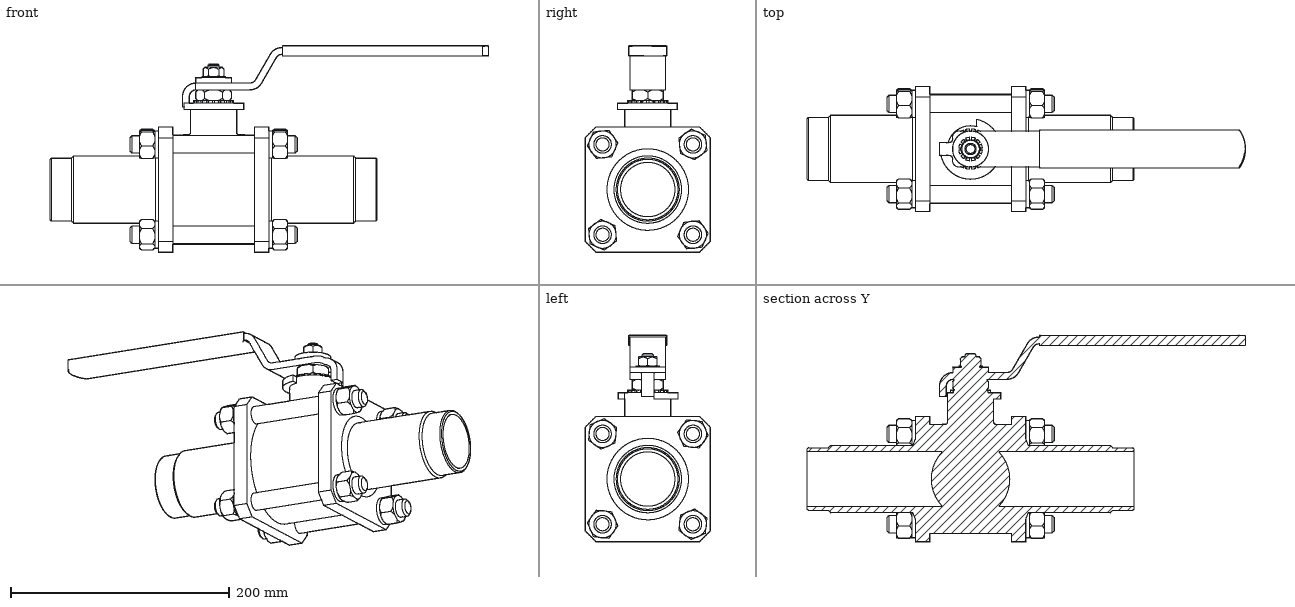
import cadquery as cq
import math


pipe_half_length = 150.0
pipe_radius = 31.0
pipe_neck_radius = 29.0
pipe_neck_length = 19.7
pipe_step_length = 2.0
pipe_lip_chamfer = 1.2
bore_radius = 25.0
ball_radius = 36.0
body_radius = 50.3
body_half_length = 37.5

plate_size = 115.0
plate_thickness = 13.3
plate_corner = 10.0
plate_outer_x = body_half_length + plate_thickness
collar_radius = 37.5
collar_length = 2.5

bolt_offset = 41.5
bolt_radius = 8.0
bolt_half_length = 77.0
bolt_chamfer = 2.0
washer_radius = 12.5
washer_thickness = 3.2
nut_corner_radius = 14.0
nut_thickness = 14.0
nut_chamfer_radial = 1.5
nut_chamfer_axial = 2.0
nut_turn = 36.0

boss_radius = 21.5
boss_top = 73.0
boss_foot_fillet = 1.5
stop_radius = 27.7
stop_thickness = 6.0
stop_top = boss_top + stop_thickness
stop_notch_edge = 5.5
lock_washer_radius = 18.5
lock_washer_thickness = 2.5
lock_washer_teeth = 20
gland_nut_corner_radius = 16.5
lever_thickness = 6.5
lever_bottom = 91.3
lever_top = lever_bottom + lever_thickness
lever_washer_radius = 16.5
lever_washer_thickness = 5.0
stem_nut_bottom = lever_top + lever_washer_thickness
stem_nut_corner_radius = 9.5
stem_nut_thickness = 9.5
stem_washer_radius = 11.0
stem_washer_thickness = 1.2
stem_washer_teeth = 12
tooth_depth = 2.5
tooth_gap = 2.0
stem_radius = 5.2
stem_top = 115.0
stem_chamfer = 1.2

lever_width = 33.0
lever_end_x = -16.5
lever_end_round = 5.5
tab_width = 11.5
tab_outer_x = -28.5
tab_bottom = 75.5
tab_root_fillet = 3.2
crank_angle = 60.0
crank_start_x = 38.5
bend_inner_radius = 6.0
bend_outer_radius = bend_inner_radius + lever_thickness

grip_start_x = 63.0
grip_end_x = 252.0
grip_width = 35.0
grip_height = 9.5
grip_top = 132.0
grip_nose_depth = 5.5
grip_edge_round = 1.0
grip_bottom = grip_top - grip_height
lever_rise = (grip_top - grip_height / 2) - (lever_bottom + lever_thickness / 2)


def disc(radius, bottom, height):
    """Upright cylinder on the stem axis."""
    return cq.Workplane("XY", origin=(0, 0, bottom)).circle(radius).extrude(height)


def hex_nut(corner_radius, bottom, height):
    """Upright hexagonal prism on the stem axis, two corners on X, corners chamfered at both faces."""
    prism = cq.Workplane("XY", origin=(0, 0, bottom)).polygon(6, 2 * corner_radius).extrude(height)
    turned = disc(corner_radius, bottom, height)
    turned = turned.faces("<Z or >Z").chamfer(nut_chamfer_axial, nut_chamfer_radial)
    return prism.intersect(turned)


def toothed_washer(radius, bottom, height, teeth):
    """Washer on the stem axis whose rim is notched into evenly spaced teeth."""
    gaps = (
        cq.Workplane("XY", origin=(0, 0, bottom))
        .polarArray(radius, 0, 360, teeth)
        .rect(2 * tooth_depth, tooth_gap)
        .extrude(height)
    )
    return disc(radius, bottom, height).cut(gaps)


def along_x(radius, start, length):
    """Cylinder on the X axis."""
    return cq.Workplane("YZ", origin=(start, 0, 0)).circle(radius).extrude(length)


def make_pipe():
    """Turned pipe, collar and body, mirrored about the stem axis; the closed ball blocks the bore."""
    ball_contact_x = math.sqrt(ball_radius**2 - bore_radius**2)
    ball_mid_angle = math.asin(bore_radius / ball_radius) / 2
    ball_mid = (ball_radius * math.cos(ball_mid_angle), ball_radius * math.sin(ball_mid_angle))
    lip_x = pipe_half_length - pipe_lip_chamfer
    neck_x = pipe_half_length - pipe_neck_length
    half = (
        cq.Workplane("XY")
        .moveTo(0, 0)
        .lineTo(0, body_radius)
        .lineTo(body_half_length, body_radius)
        .lineTo(body_half_length, collar_radius)
        .lineTo(plate_outer_x, collar_radius)
        .lineTo(plate_outer_x + collar_length, pipe_radius)
        .lineTo(neck_x - pipe_step_length, pipe_radius)
        .lineTo(neck_x, pipe_neck_radius)
        .lineTo(lip_x, pipe_neck_radius)
        .lineTo(pipe_half_length, pipe_neck_radius - pipe_lip_chamfer)
        .lineTo(pipe_half_length, bore_radius)
        .lineTo(ball_contact_x, bore_radius)
        .threePointArc(ball_mid, (ball_radius, 0))
        .close()
        .revolve(360, (0, 0, 0), (1, 0, 0))
    )
    return half.union(half.mirror("YZ"))


def make_body():
    """Pipe with the stem boss standing on it, blended at the foot."""
    boss_start = body_radius / 2
    body = make_pipe().union(disc(boss_radius, boss_start, boss_top - boss_start))
    around_foot = cq.selectors.BoxSelector(
        (-boss_radius, -boss_radius, boss_start),
        (boss_radius, boss_radius, body_radius + boss_foot_fillet),
    )
    return body.edges(around_foot).fillet(boss_foot_fillet)


def make_plates():
    plate = (
        cq.Workplane("YZ", origin=(body_half_length, 0, 0))
        .rect(plate_size, plate_size)
        .circle(bore_radius)
        .extrude(plate_thickness)
        .edges("|X and (<Y or >Y)")
        .chamfer(plate_corner)
    )
    return plate.union(plate.mirror("YZ"))


def make_bolt_nut():
    """Nut on the X axis, seated on its washer."""
    nut = hex_nut(nut_corner_radius, plate_outer_x + washer_thickness, nut_thickness)
    nut = nut.rotate((0, 0, 0), (0, 1, 0), 90).rotate((0, 0, 0), (1, 0, 0), nut_turn)
    return nut.union(along_x(washer_radius, plate_outer_x, washer_thickness))


def make_bolts():
    """Four tie bolts, each turned a quarter turn from the one before."""
    nut = make_bolt_nut()
    rod = along_x(bolt_radius, -bolt_half_length, 2 * bolt_half_length)
    rod = rod.faces("<X or >X").chamfer(bolt_chamfer)
    bolt = rod.union(nut).union(nut.mirror("YZ")).translate((0, -bolt_offset, bolt_offset))
    bolts = bolt
    for quarter in range(1, 4):
        bolts = bolts.union(bolt.rotate((0, 0, 0), (1, 0, 0), 90 * quarter))
    return bolts


def make_stop_plate():
    """Flange whose rim is cut back to the boss over a quarter, for the lever tab to swing in."""
    sweep = (
        cq.Workplane("XY", origin=(0, 0, boss_top))
        .moveTo(stop_notch_edge, -stop_notch_edge)
        .rect(-2 * stop_radius, 2 * stop_radius, centered=False)
        .extrude(stop_thickness)
    )
    hub = disc(boss_radius, boss_top, stop_thickness)
    return disc(stop_radius, boss_top, stop_thickness).cut(sweep).union(hub)


def make_stem_tower():
    gland_bottom = stop_top + lock_washer_thickness
    stem = disc(stem_radius, boss_top, stem_top - boss_top).faces(">Z").chamfer(stem_chamfer)
    return (
        make_stop_plate()
        .union(toothed_washer(lock_washer_radius, stop_top, lock_washer_thickness, lock_washer_teeth))
        .union(hex_nut(gland_nut_corner_radius, gland_bottom, lever_bottom - gland_bottom))
        .union(disc(lever_washer_radius, lever_top, lever_washer_thickness))
        .union(toothed_washer(stem_washer_radius, stem_nut_bottom, stem_washer_thickness, stem_washer_teeth))
        .union(hex_nut(stem_nut_corner_radius, stem_nut_bottom, stem_nut_thickness))
        .union(stem)
    )


def make_lever():
    """Bent strip: hooked tab, flat, crank and grip tang, trimmed to its width in plan."""
    run = lever_rise / math.tan(math.radians(crank_angle))
    mitre = lever_thickness / 2 * math.tan(math.radians(crank_angle / 2))
    low_x = crank_start_x
    high_x = crank_start_x + run
    tang_x = grip_start_x + grip_height
    tab_inner_x = tab_outer_x + lever_thickness
    strip = (
        cq.Workplane("XZ", origin=(0, lever_width / 2, 0))
        .moveTo(tab_outer_x, tab_bottom)
        .lineTo(tab_outer_x, lever_top)
        .lineTo(low_x - mitre, lever_top)
        .lineTo(high_x - mitre, lever_top + lever_rise)
        .lineTo(tang_x, lever_top + lever_rise)
        .lineTo(tang_x, lever_bottom + lever_rise)
        .lineTo(high_x + mitre, lever_bottom + lever_rise)
        .lineTo(low_x + mitre, lever_bottom)
        .lineTo(tab_inner_x, lever_bottom)
        .lineTo(tab_inner_x, tab_bottom)
        .close()
        .extrude(lever_width)
    )

    def round_bend(body, x, z, radius):
        nearest = cq.selectors.NearestToPointSelector((x, 0, z))
        return body.edges("|Y").edges(nearest).fillet(radius)

    strip = round_bend(strip, tab_outer_x, lever_top, bend_outer_radius)
    strip = round_bend(strip, tab_inner_x, lever_bottom, bend_inner_radius)
    strip = round_bend(strip, low_x - mitre, lever_top, bend_inner_radius)
    strip = round_bend(strip, low_x + mitre, lever_bottom, bend_outer_radius)
    strip = round_bend(strip, high_x - mitre, lever_top + lever_rise, bend_outer_radius)
    strip = round_bend(strip, high_x + mitre, lever_bottom + lever_rise, bend_inner_radius)

    plan_height = grip_top - tab_bottom
    plan = (
        cq.Workplane("XY", origin=(lever_end_x, -lever_width / 2, tab_bottom))
        .rect(tang_x - lever_end_x, lever_width, centered=False)
        .extrude(plan_height)
        .edges("|Z and <X")
        .fillet(lever_end_round)
    )
    tab_plan = (
        cq.Workplane("XY", origin=(tab_outer_x, -tab_width / 2, tab_bottom))
        .rect(-tab_outer_x, tab_width, centered=False)
        .extrude(plan_height)
    )
    plan = plan.union(tab_plan)
    for side in (-1, 1):
        root_point = (lever_end_x, side * tab_width / 2, tab_bottom + plan_height / 2)
        root = cq.selectors.NearestToPointSelector(root_point)
        plan = plan.edges("|Z").edges(root).fillet(tab_root_fillet)
    return strip.intersect(plan)


def make_grip():
    """Sleeve over the lever tang with an arched nose and softened edges."""
    half_width = grip_width / 2
    shoulder_x = grip_end_x - grip_nose_depth
    return (
        cq.Workplane("XY", origin=(0, 0, grip_bottom))
        .moveTo(grip_start_x, -half_width)
        .lineTo(shoulder_x, -half_width)
        .threePointArc((grip_end_x, 0), (shoulder_x, half_width))
        .lineTo(grip_start_x, half_width)
        .close()
        .extrude(grip_height)
        .faces("<Z or >Z")
        .edges()
        .fillet(grip_edge_round)
    )


result = (
    make_body()
    .union(make_stem_tower())
    .union(make_plates())
    .union(make_bolts())
    .union(make_lever())
    .union(make_grip())
)